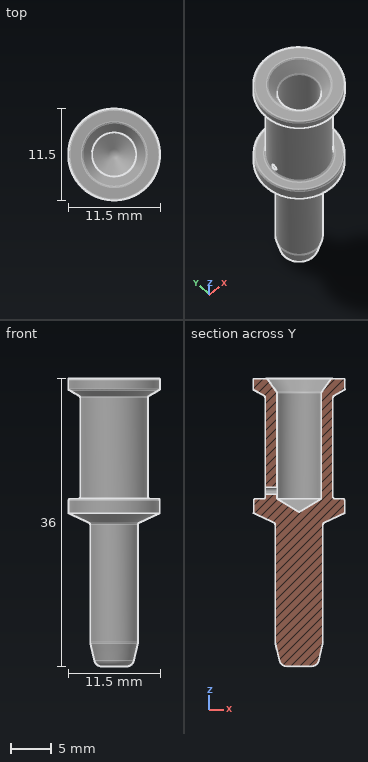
import cadquery as cq
import math

total_length = 35.95
pin_length = 17.86
barrel_length = 15.0
nose_length = 3.0
rim_neck_depth = 2.27

rim_radius = 5.75
shoulder_radius = 5.7
barrel_radius = 4.25
pin_radius = 3.0
rim_cone_angle = 30.0
shoulder_cone_angle = 25.0
nose_taper_angle = 13.0

edge_radius = 0.2
nose_round = 1.0

bore_radius = 2.75
bore_depth = 15.0
mouth_radius = 4.0
mouth_depth = 1.75
drill_point_angle = 118.0

inspection_diameter = 0.8
inspection_depth = 14.0


def rise(run, angle):
    """Offset across a straight run that a line at this angle to the run reaches."""
    return run * math.tan(math.radians(angle))


def outer_body():
    """Revolved pin, shoulder, barrel and rim, with rounded edges."""
    tip_radius = pin_radius - rise(nose_length, nose_taper_angle)
    shoulder_edge = pin_length + rise(shoulder_radius - pin_radius, shoulder_cone_angle)
    shoulder_top = total_length - barrel_length
    neck_height = total_length - rim_neck_depth
    rim_edge = neck_height + rise(rim_radius - barrel_radius, rim_cone_angle)

    tip_corner = (tip_radius, 0)
    shoulder_edge_corner = (shoulder_radius, shoulder_edge)
    taper_start = (pin_radius, nose_length)
    pin_top = (pin_radius, pin_length)
    edge_corners = [
        (shoulder_radius, shoulder_top),
        (barrel_radius, shoulder_top),
        (barrel_radius, neck_height),
        (rim_radius, rim_edge),
        (rim_radius, total_length),
    ]
    outline = [(0, 0), tip_corner, taper_start, pin_top, shoulder_edge_corner]
    outline += edge_corners + [(0, total_length)]
    body = cq.Workplane("XZ").polyline(outline).close().revolve(360, (0, 0, 0), (0, 1, 0))

    body = round_rings(body, [pin_top] + edge_corners, edge_radius)
    return round_rings(body, [tip_corner, taper_start], nose_round)


def round_rings(body, corners, radius):
    """Fillet the circular edges that pass through the given (radius, height) corners."""
    margin = 0.01
    for ring_radius, height in corners:
        reach = ring_radius + margin
        inner = ring_radius - margin
        outer_box = cq.selectors.BoxSelector(
            (-reach, -reach, height - margin), (reach, reach, height + margin), boundingbox=True
        )
        inner_box = cq.selectors.BoxSelector(
            (-inner, -inner, height - margin), (inner, inner, height + margin), boundingbox=True
        )
        body = body.edges(outer_box - inner_box).fillet(radius)
    return body


def cut_bore(body):
    """Cut the blind bore with a conical bottom and a funnel mouth, then round the funnel's edges."""
    bore_floor = total_length - bore_depth
    drill_tip = bore_floor - bore_radius / math.tan(math.radians(drill_point_angle / 2))
    funnel_foot = (bore_radius, total_length - mouth_depth)
    funnel_edge = (mouth_radius, total_length)
    outline = [
        (0, drill_tip),
        (bore_radius, bore_floor),
        funnel_foot,
        funnel_edge,
        (0, total_length),
    ]
    bore = cq.Workplane("XZ").polyline(outline).close().revolve(360, (0, 0, 0), (0, 1, 0))
    return round_rings(body.cut(bore), [funnel_foot, funnel_edge], edge_radius)


def cut_inspection_hole(body):
    """Drill from the axis out through the -X wall of the barrel."""
    hole = (
        cq.Workplane("YZ")
        .center(0, total_length - inspection_depth)
        .circle(inspection_diameter / 2)
        .extrude(-rim_radius)
    )
    return body.cut(hole)


result = cut_inspection_hole(cut_bore(outer_body()))